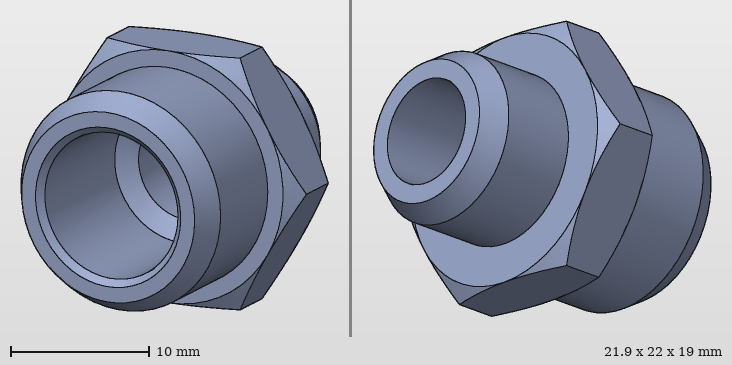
import cadquery as cq
import math

total_length = 22.0
large_length = 9.0
hex_width = 5.0
hex_start = large_length
hex_end = hex_start + hex_width

across_flats = 19.0
large_radius = 16.5 / 2
small_radius = 13.05 / 2
chamfer_depth = 1.1
chamfer_angle = 30.0
hex_chamfer_angle = 30.0

through_radius = 8.0 / 2
counterbore_radius = 11.0 / 2
mouth_radius = 12.0 / 2
mouth_chamfer_angle = 45.0
counterbore_depth = 11.0
floor_angle = 60.0


def axial_run(radial_step, angle):
    """Axial length of a cone whose wall makes the given angle with the axis."""
    return radial_step / math.tan(math.radians(angle))


def turned(profile):
    """Solid of revolution about Y from (radius, y) points."""
    return cq.Workplane("XY").polyline(profile).close().revolve(360, (0, 0, 0), (0, 1, 0))


def hexagon():
    """Hexagon with corners on the X axis and both ends chamfered by a cone."""
    flat_radius = across_flats / 2
    corner_radius = flat_radius / math.cos(math.radians(30))
    blank = (
        cq.Workplane("XZ", origin=(0, hex_start, 0))
        .polygon(6, 2 * corner_radius)
        .extrude(-hex_width)
    )
    corner_drop = (corner_radius - flat_radius) * math.tan(math.radians(hex_chamfer_angle))
    envelope = turned([
        (0, hex_start),
        (flat_radius, hex_start),
        (corner_radius, hex_start + corner_drop),
        (corner_radius, hex_end - corner_drop),
        (flat_radius, hex_end),
        (0, hex_end),
    ])
    return blank.intersect(envelope)


def spigots():
    """Two cylinders of different diameter, each with a tapered outer end."""
    taper = axial_run(chamfer_depth, chamfer_angle)
    return turned([
        (0, 0),
        (large_radius - chamfer_depth, 0),
        (large_radius, taper),
        (large_radius, hex_end),
        (small_radius, hex_end),
        (small_radius, total_length - taper),
        (small_radius - chamfer_depth, total_length),
        (0, total_length),
    ])


def bore():
    """Through hole with a chamfered counterbore and a conical floor."""
    mouth_depth = axial_run(mouth_radius - counterbore_radius, mouth_chamfer_angle)
    floor_depth = axial_run(counterbore_radius - through_radius, floor_angle)
    return turned([
        (0, 0),
        (mouth_radius, 0),
        (counterbore_radius, mouth_depth),
        (counterbore_radius, counterbore_depth),
        (through_radius, counterbore_depth + floor_depth),
        (through_radius, total_length),
        (0, total_length),
    ])


result = hexagon().union(spigots()).cut(bore())